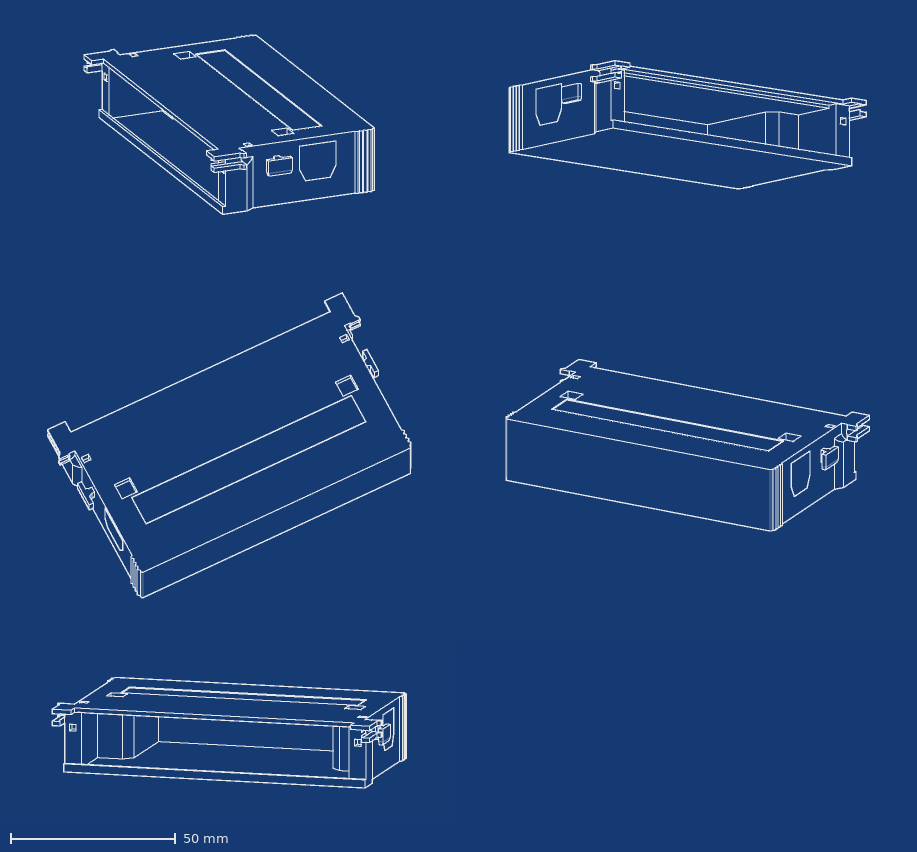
import cadquery as cq
import math

length = 102.0
depth = 55.0
height = 20.0

body_half = 45.8
front_half = 47.6
front_y = 4.9
panel_front_y = 3.9
sheet = 1.3
lip_height = 2.6
back_corner = 0.5

mouth_half = 42.1
shoulder_half = 34.3
inner_half = 31.4
shoulder_y = 22.5
back_wall = 2.6
inner_back_y = depth - back_wall
ceiling_drop = 0.9
ceiling_step_y = 8.2

ridge_count = 4
ridge_pitch = 1.4
ridge_height = 0.7
ridge_inset = 0.9
ridge_last_y = depth - ridge_inset

pad_back_y = 14.6
pad_full_y = 11.9
pad_top_z = 16.6
pad_radius = 2.8

ear_half = 50.1
ear_inner_half = 44.1
ear_back_y = 10.3
ear_step_x = 47.9
ear_step_y = 10.0
ear_tip_flat = 0.9
ear_tip_slope = 0.9
ear_bottom_z = 14.9
slot_bottom_z = 16.3
slot_height = 2.2
slot_end_x = 47.5
slot_end_radius = 1.4

button_outer_x = 49.2
button_thickness = 1.4
button_front_y = 18.4
button_back_y = 26.2
button_bottom_z = 10.7
button_top_z = 15.7
button_bevel_height = 1.0
button_bevel_width = 0.3
neck_width = 1.8
neck_flare_width = 2.9
neck_flare_length = 1.0

label_half = 37.4
label_front_y = 31.4
label_back_y = 41.1
label_recess = 0.3
square_size = 5.2
square_center_x = 37.6
square_center_y = 28.0
square_depth = 2.2
pin_pocket_depth = 3.1
top_pin_size = (2.3, 1.9)
top_pin_center = (43.9, 13.8)
front_pin_size = 2.0
front_pin_center = (45.0, 13.7)
shield_recess = 0.1
shield_front_y = 30.1
shield_back_y = 42.1
shield_top_z = 17.8
shield_corner_z = 10.1
shield_bottom_z = 6.3
shield_taper = 1.9


def box(x0, x1, y0, y1, z0, z1):
    """Box between two opposite corners."""
    return cq.Workplane("XY").box(x1 - x0, y1 - y0, z1 - z0, centered=False).translate((x0, y0, z0))


def prism(points, z0, z1):
    """Upright prism over an XY outline."""
    return cq.Workplane("XY").workplane(offset=z0).polyline(points).close().extrude(z1 - z0)


def both_sides(shape):
    """Shape on the +X side together with its mirror image."""
    return shape.union(shape.mirror("YZ"))


def make_shell():
    block = box(-body_half, body_half, front_y, depth, 0, height)
    block = block.edges("|Z and >Y").fillet(back_corner)
    roof_edge = box(-ear_inner_half, ear_inner_half, panel_front_y, front_y, height - sheet, height)
    lip = box(-front_half, front_half, panel_front_y, front_y, 0, lip_height)
    return block.union(roof_edge).union(lip)


def make_cavity():
    ceiling_z = height - sheet - ceiling_drop
    mouth = box(-mouth_half, mouth_half, front_y, ceiling_step_y, sheet, height - sheet)
    middle = box(-mouth_half, mouth_half, ceiling_step_y, shoulder_y, sheet, ceiling_z)
    doorway = box(-mouth_half, mouth_half, 0, front_y, lip_height, height - sheet)
    taper_y = shoulder_y + shoulder_half - inner_half
    rear = prism(
        [
            (-shoulder_half, shoulder_y),
            (shoulder_half, shoulder_y),
            (inner_half, taper_y),
            (inner_half, inner_back_y),
            (-inner_half, inner_back_y),
            (-inner_half, taper_y),
        ],
        sheet,
        ceiling_z,
    )
    return doorway.union(mouth).union(middle).union(rear)


def make_ridges():
    root_x = body_half - ridge_height
    tip_x = body_half + ridge_height
    points = [(root_x, ridge_last_y), (body_half, ridge_last_y)]
    for i in range(ridge_count):
        valley_y = ridge_last_y - (i + 1) * ridge_pitch
        points.append((tip_x, valley_y + ridge_pitch / 2))
        points.append((body_half, valley_y))
    points.append((root_x, valley_y))
    return prism(points, 0, height)


def make_pad():
    plan = prism(
        [
            (mouth_half, front_y),
            (front_half, front_y),
            (front_half, pad_full_y),
            (body_half, pad_back_y),
            (mouth_half, pad_back_y),
        ],
        0,
        height,
    )
    run = front_half - body_half
    drop = pad_top_z - ear_bottom_z
    chord = math.hypot(run, drop)
    sagitta = pad_radius - math.sqrt(pad_radius**2 - chord**2 / 4)
    arc_mid = (
        body_half + run / 2 - sagitta * drop / chord,
        pad_top_z - drop / 2 - sagitta * run / chord,
    )
    section = (
        cq.Workplane("XZ")
        .moveTo(mouth_half, 0)
        .lineTo(front_half, 0)
        .lineTo(front_half, ear_bottom_z)
        .threePointArc(arc_mid, (body_half, pad_top_z))
        .lineTo(mouth_half, pad_top_z)
        .close()
        .extrude(-depth)
    )
    return plan.intersect(section)


def make_ear():
    tip_x = length / 2
    tip_y = ear_back_y - ear_tip_flat
    outline = [
        (front_half, 0),
        (ear_half, 0),
        (ear_half, tip_y - ear_tip_slope),
        (tip_x, tip_y),
        (tip_x, ear_back_y),
        (ear_step_x, ear_back_y),
        (ear_step_x, ear_step_y),
        (front_half, ear_step_y),
    ]
    plate = box(ear_inner_half, front_half, 0, front_y, height - sheet, height)
    post = box(mouth_half, front_half, front_y, ear_step_y, 0, height)
    return prism(outline, ear_bottom_z, height).union(plate).union(post)


def make_ear_slot():
    slot_top_z = slot_bottom_z + slot_height
    center_x = slot_end_x + slot_end_radius
    center_z = slot_bottom_z + slot_height / 2
    round_end = cq.Workplane("XZ").center(center_x, center_z).circle(slot_end_radius).extrude(-depth)
    round_end = round_end.intersect(box(slot_end_x, center_x, 0, depth, slot_bottom_z, slot_top_z))
    return round_end.union(box(center_x, length, 0, depth, slot_bottom_z, slot_top_z))


def make_button():
    plate_x = button_outer_x - button_thickness
    bevel_z = button_bottom_z + button_bevel_height
    center_y = (button_front_y + button_back_y) / 2
    plate = box(plate_x, button_outer_x, button_front_y, button_back_y, button_bottom_z, button_top_z)
    plate = plate.faces("<Z").edges("|Y and >X or |X").chamfer(button_bevel_height, button_bevel_width)
    flare_x = plate_x - neck_flare_length
    neck = prism(
        [
            (mouth_half, center_y - neck_width / 2),
            (flare_x, center_y - neck_width / 2),
            (plate_x, center_y - neck_flare_width / 2),
            (plate_x, center_y + neck_flare_width / 2),
            (flare_x, center_y + neck_width / 2),
            (mouth_half, center_y + neck_width / 2),
        ],
        bevel_z,
        button_top_z,
    )
    return plate.union(neck)


def make_label_recess():
    return box(-label_half, label_half, label_front_y, label_back_y, height - label_recess, height)


def make_side_pockets():
    square = (
        cq.Workplane("XY", origin=(square_center_x, square_center_y, height))
        .rect(square_size, square_size)
        .extrude(-square_depth)
    )
    top_pin = (
        cq.Workplane("XY", origin=(*top_pin_center, height))
        .rect(*top_pin_size)
        .extrude(-pin_pocket_depth)
    )
    pin_x, pin_z = front_pin_center
    front_pin = (
        cq.Workplane("XZ", origin=(pin_x, front_y, pin_z))
        .rect(front_pin_size, front_pin_size)
        .extrude(-pin_pocket_depth)
    )
    shield = (
        cq.Workplane("YZ", origin=(body_half, 0, 0))
        .polyline(
            [
                (shield_front_y, shield_top_z),
                (shield_back_y, shield_top_z),
                (shield_back_y, shield_corner_z),
                (shield_back_y - shield_taper, shield_bottom_z),
                (shield_front_y + shield_taper, shield_bottom_z),
                (shield_front_y, shield_corner_z),
            ]
        )
        .close()
        .extrude(-shield_recess)
    )
    return square.union(top_pin).union(front_pin).union(shield)


side_features = make_ridges().union(make_pad()).union(make_ear().cut(make_ear_slot())).union(make_button())

result = (
    make_shell()
    .union(both_sides(side_features))
    .cut(make_cavity())
    .cut(make_label_recess())
    .cut(both_sides(make_side_pockets()))
)